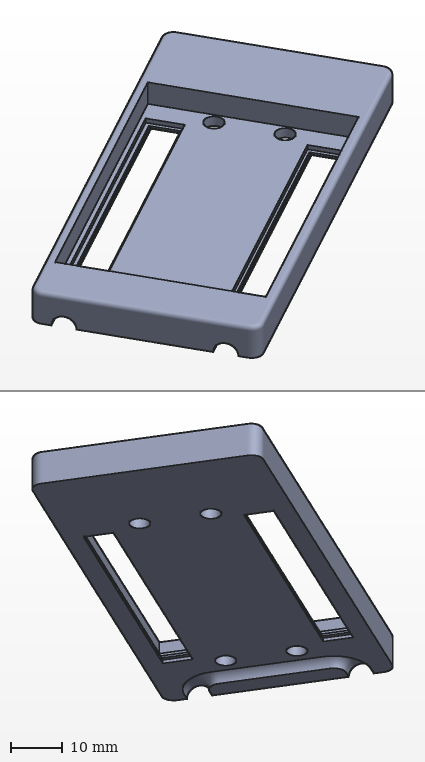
import cadquery as cq

width = 46.3
length = 93.3
height = 7.3
corner_radius = 2.4
top_fillet = 0.9

pocket_width = 42.3
pocket_length = 63.9
pocket_depth = 5.0
pocket_y = -3.9
floor_top = height - pocket_depth

hole_y = -4.0
hole_diameter = 4.1
hole_spacing_x = 14.3
hole_spacing_y = 59.1

slot_y = -4.0
recess_spacing = 32.5
opening_spacing = 32.2
recess_width = 7.8
recess_length = 54.4
recess_depth = 1.0
opening_width = 6.3
end_ledge = 0.8
lip_width = 0.2
lip_height = 0.7

channel_radius = 2.5
channel_spacing = recess_spacing
channel_bend = 2 * channel_radius
channel_straight = 1.9


def make_body():
    body = cq.Workplane("XY").box(width, length, height, centered=(True, True, False))
    return body.edges("|Z").fillet(corner_radius).faces(">Z").edges().fillet(top_fillet)


def make_block(size_x, size_y, center_x, center_y, bottom, top):
    """Block centred at (center_x, center_y), spanning bottom to top."""
    block = cq.Workplane("XY").box(size_x, size_y, top - bottom, centered=(True, True, False))
    return block.translate((center_x, center_y, bottom))


def cut_slot(body, side):
    """Slot on one side; its throat at the underside is narrower and longer than the opening."""
    recess_x = side * recess_spacing / 2
    opening_x = side * opening_spacing / 2
    opening_length = recess_length - 2 * end_ledge
    throat_width = opening_width - 2 * lip_width
    recess_floor = floor_top - recess_depth
    recess = make_block(recess_width, recess_length, recess_x, slot_y, recess_floor, floor_top)
    opening = make_block(opening_width, opening_length, opening_x, slot_y, lip_height, floor_top)
    throat = make_block(throat_width, recess_length, opening_x, slot_y, 0, lip_height)
    return body.cut(recess).cut(opening).cut(throat)


def make_channel():
    side_x = channel_spacing / 2
    entry_y = -length / 2
    bend_y = entry_y + channel_straight
    cross_y = bend_y + channel_bend
    cross_x = side_x - channel_bend
    path = (
        cq.Workplane("XY")
        .moveTo(-side_x, entry_y)
        .lineTo(-side_x, bend_y)
        .tangentArcPoint((-cross_x, cross_y), relative=False)
        .lineTo(cross_x, cross_y)
        .tangentArcPoint((side_x, bend_y), relative=False)
        .lineTo(side_x, entry_y)
    )
    entry = cq.Workplane("XZ", origin=(-side_x, entry_y, 0))
    return entry.circle(channel_radius).sweep(path)


pocket = make_block(pocket_width, pocket_length, 0, pocket_y, floor_top, height)
result = make_body().cut(pocket)

for slot_side in (-1, 1):
    result = cut_slot(result, slot_side)

holes = (
    cq.Workplane("XY", origin=(0, hole_y, 0))
    .rarray(hole_spacing_x, hole_spacing_y, 2, 2)
    .circle(hole_diameter / 2)
    .extrude(height)
)
result = result.cut(holes).cut(make_channel())